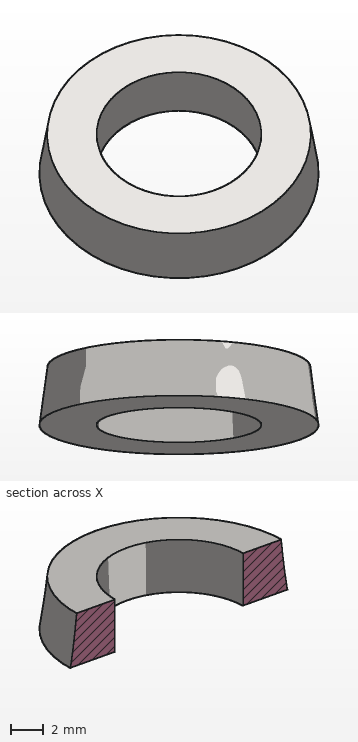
import cadquery as cq

base_diameter = 17.14
top_diameter = 16.16
bore_diameter = 10.1
height = 3.62

base_radius = base_diameter / 2
top_radius = top_diameter / 2
bore_radius = bore_diameter / 2

section = (
    cq.Workplane("XZ")
    .moveTo(bore_radius, 0)
    .lineTo(base_radius, 0)
    .lineTo(top_radius, height)
    .lineTo(bore_radius, height)
    .close()
)

result = section.revolve(360, (0, 0, 0), (0, 1, 0))